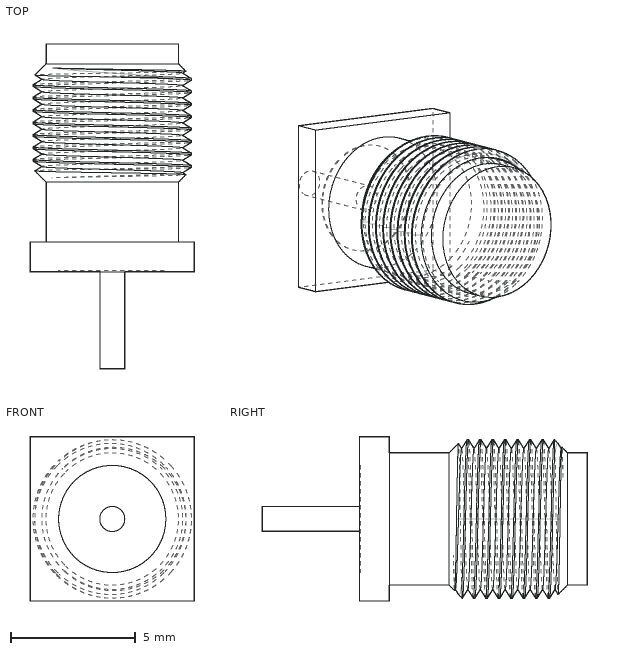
import cadquery as cq
import math

flange_side = 6.6
flange_thickness = 1.2
pin_diameter = 1.0
pin_length = 3.9
insulator_diameter = 4.3
insulator_recess = 0.05
body_radius = 2.66
neck_length = 2.4
nose_length = 0.8

thread_length = 4.75
crest_radius = 3.18
root_radius = 2.83
thread_turns = 9.5
thread_pitch = thread_length / thread_turns
crest_width = 0.07
first_groove_offset = -0.124
groove_overshoot = 0.03

thread_start = flange_thickness + neck_length
thread_end = thread_start + thread_length
front = thread_end + nose_length
chamfer = crest_radius - body_radius


def make_flange():
    plate = cq.Workplane("XZ").rect(flange_side, flange_side).extrude(-flange_thickness)
    recess = cq.Workplane("XZ").circle(insulator_diameter / 2).extrude(-insulator_recess)
    return plate.cut(recess)


def make_barrel():
    """Turned body: plain neck, thread blank with 45 degree ends, plain nose."""
    return (
        cq.Workplane("XY")
        .moveTo(0, flange_thickness)
        .lineTo(body_radius, flange_thickness)
        .lineTo(body_radius, thread_start)
        .lineTo(crest_radius, thread_start + chamfer)
        .lineTo(crest_radius, thread_end - chamfer)
        .lineTo(body_radius, thread_end)
        .lineTo(body_radius, front)
        .lineTo(0, front)
        .close()
        .revolve(360, (0, 0), (0, 1))
    )


def make_groove_turn():
    """One turn of the V groove, swept along a helix on Z, then turned onto the Y axis."""
    helix = cq.Wire.makeHelix(thread_pitch, thread_pitch, root_radius, lefthand=True)
    groove_depth = crest_radius - root_radius
    flank_slope = (thread_pitch - crest_width) / 2 / groove_depth
    outer_radius = crest_radius + groove_overshoot
    half_width = flank_slope * (groove_depth + groove_overshoot)
    cutter = (
        cq.Workplane("XZ")
        .moveTo(root_radius, 0)
        .lineTo(outer_radius, half_width)
        .lineTo(outer_radius, -half_width)
        .close()
        .sweep(cq.Workplane(obj=helix), isFrenet=True)
    )
    return (
        cutter.rotate((0, 0, 0), (1, 0, 0), -90)
        .translate((0, thread_start + first_groove_offset, 0))
    )


def make_pin():
    return (
        cq.Workplane("XZ", origin=(0, insulator_recess, 0))
        .circle(pin_diameter / 2)
        .extrude(pin_length + insulator_recess)
    )


def cut_thread(barrel):
    """Cut the groove one turn at a time, each turn starting where the last one ends."""
    groove_turn = make_groove_turn()
    turn_count = math.ceil((thread_length - first_groove_offset) / thread_pitch)
    for turn in range(turn_count):
        barrel = barrel.cut(groove_turn.translate((0, turn * thread_pitch, 0)))
    return barrel


threaded_barrel = cut_thread(make_barrel())
result = make_flange().union(threaded_barrel).union(make_pin())